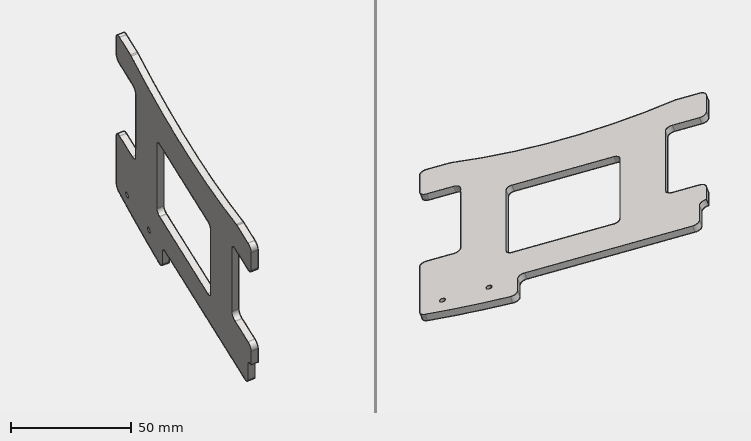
import cadquery as cq

WIDTH = 126.0
THICKNESS = 3.3
HEIGHT = 112.3
CORNER_RADIUS = 3.0

LEFT = -WIDTH / 2
RIGHT = WIDTH / 2
TOP = HEIGHT / 2

NOTCH_DEPTH = 18.0
NOTCH_HEIGHT = 49.9
UPPER_LUG_HEIGHT = 18.3

TOP_ARC_HALF_CHORD = 49.4
TOP_ARC_DEPTH = 5.9

STEP_INSET = 3.0
STEP_DROP = 80.5
LOWER_EDGE_DROP = 97.4

TAB_WIDTH = 43.1
TAB_ARC_RADIUS = 346.5
TAB_ARC_LOWEST_DROP = 113.0
TAB_BOTTOM_SLOPE = 0.19

WINDOW_SIZE = 49.9
WINDOW_DROP = 29.5
WINDOW_CORNER_RADIUS = 2.5

HOLE_DIAMETER = 2.5
HOLE_EDGE_DISTANCE = 10.1
HOLE_SPACING = 20.4
HOLE_DROP = 100.5


def tab_bottom_cone():
    """Large cone frustum along Y that holds the whole plate; its rim is the tab's bottom edge."""
    center_z = TOP - TAB_ARC_LOWEST_DROP + TAB_ARC_RADIUS
    return cq.Workplane(
        cq.Solid.makeCone(
            TAB_ARC_RADIUS - TAB_BOTTOM_SLOPE,
            TAB_ARC_RADIUS,
            THICKNESS,
            cq.Vector(0, -THICKNESS / 2, center_z),
            cq.Vector(0, 1, 0),
        )
    )


def plate_blank():
    """Outer outline with rounded corners, centred on the XZ plane."""
    notch_top = TOP - UPPER_LUG_HEIGHT
    notch_bottom = notch_top - NOTCH_HEIGHT
    step_x = RIGHT - STEP_INSET
    step_z = TOP - STEP_DROP
    lower_edge = TOP - LOWER_EDGE_DROP
    tab_right = LEFT + TAB_WIDTH

    blank = (
        cq.Workplane("XZ")
        .moveTo(LEFT, TOP)
        .lineTo(-TOP_ARC_HALF_CHORD, TOP)
        .threePointArc((0, TOP - TOP_ARC_DEPTH), (TOP_ARC_HALF_CHORD, TOP))
        .lineTo(RIGHT, TOP)
        .lineTo(RIGHT, notch_top)
        .lineTo(RIGHT - NOTCH_DEPTH, notch_top)
        .lineTo(RIGHT - NOTCH_DEPTH, notch_bottom)
        .lineTo(RIGHT, notch_bottom)
        .lineTo(RIGHT, step_z)
        .radiusArc((step_x, step_z - STEP_INSET), -STEP_INSET)
        .lineTo(step_x, lower_edge)
        .lineTo(tab_right, lower_edge)
        .lineTo(tab_right, TOP - TAB_ARC_LOWEST_DROP)
        .lineTo(LEFT, TOP - TAB_ARC_LOWEST_DROP)
        .lineTo(LEFT, notch_bottom)
        .lineTo(LEFT + NOTCH_DEPTH, notch_bottom)
        .lineTo(LEFT + NOTCH_DEPTH, notch_top)
        .lineTo(LEFT, notch_top)
        .close()
        .extrude(THICKNESS / 2, both=True)
        .intersect(tab_bottom_cone())
    )

    step_box = cq.selectors.BoxSelector(
        (step_x - CORNER_RADIUS / 2, -THICKNESS, step_z - STEP_INSET - CORNER_RADIUS / 2),
        (RIGHT + CORNER_RADIUS / 2, THICKNESS, step_z + CORNER_RADIUS / 2),
    )
    corners = cq.selectors.StringSyntaxSelector("not(<Y or >Y)") - step_box
    return blank.edges(corners).fillet(CORNER_RADIUS)


def window():
    return (
        cq.Workplane("XZ")
        .center(0, TOP - WINDOW_DROP - WINDOW_SIZE / 2)
        .rect(WINDOW_SIZE, WINDOW_SIZE)
        .extrude(THICKNESS, both=True)
        .edges("|Y")
        .fillet(WINDOW_CORNER_RADIUS)
    )


def tab_holes():
    first_x = LEFT + HOLE_EDGE_DISTANCE
    hole_z = TOP - HOLE_DROP
    return (
        cq.Workplane("XZ")
        .pushPoints([(first_x + i * HOLE_SPACING, hole_z) for i in range(2)])
        .circle(HOLE_DIAMETER / 2)
        .extrude(THICKNESS, both=True)
    )


result = plate_blank().cut(window()).cut(tab_holes())